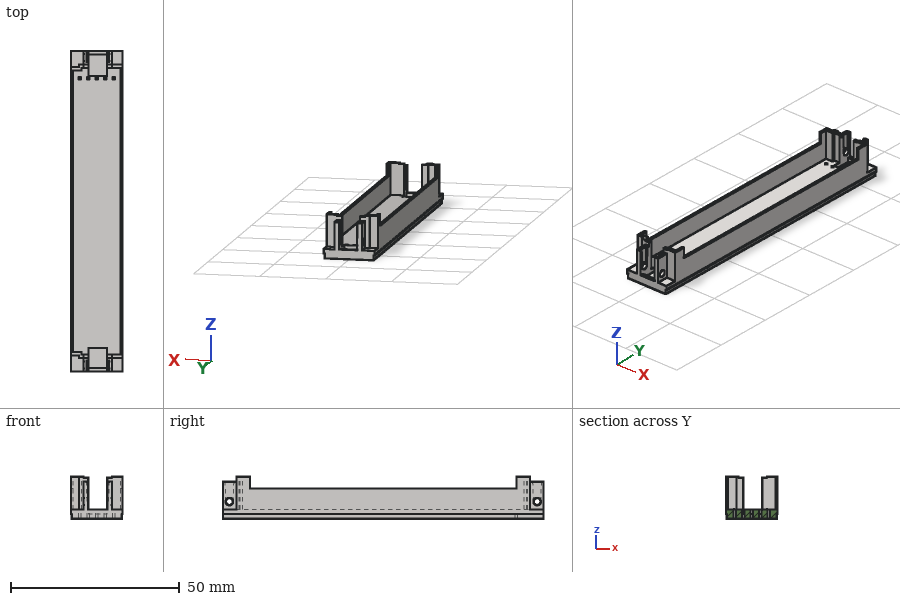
import cadquery as cq

length = 95.0
width = 15.4
height = 12.5

base_height = 2.85
foot_height = 1.4
foot_inset = 0.3
side_wall = 0.7
side_wall_top = 9.0

raised_from_end = 8.1
end_wall_from_end = 4.0
end_wall_thickness = 1.0
jog_depth = 0.8
jog_outer_x = -5.3
jog_inner_x = -4.5

channel_width = 5.5
lug_thickness = 1.4
channel_center_x = 0.3
lug_top = 11.0
lug_wall_top = 12.3
pin_hole_diameter = 2.1
pin_hole_from_end = 1.9
pin_hole_height = 5.1
groove_width_at_top = 2.7
groove_depth_at_top = 0.6
groove_depth_at_hole = 0.5

recess_from_end = 1.0
recess_inner_from_rear_end = 7.5
recess_inner_from_front_end = 7.0
recess_floor = 1.4

wire_hole_diameter = 0.7
wire_hole_count = 5
wire_hole_row_length = 10.1
wire_hole_from_end = 8.1

half_length = length / 2
half_width = width / 2
inner_half_width = half_width - side_wall
half_lugs = channel_width / 2 + lug_thickness
end_wall_outer = half_length - end_wall_from_end
end_wall_inner = end_wall_outer - end_wall_thickness


def block(x_range, y_range, z_range):
    """Box between the given pairs of limits."""
    size = [high - low for low, high in (x_range, y_range, z_range)]
    corner = (x_range[0], y_range[0], z_range[0])
    return cq.Workplane("XY").box(*size, centered=False).translate(corner)


def centered_on_channel(half_size):
    """X limits placed evenly about the middle of the channel."""
    return (channel_center_x - half_size, channel_center_x + half_size)


def cross_cylinder(x_range, y, z, diameter):
    """Cylinder along X between the given limits."""
    start, end = x_range
    return cq.Workplane("YZ", origin=(start, y, z)).circle(diameter / 2).extrude(end - start)


def tray_outline(half_x, end_y, jog_x):
    """Plan outline whose two left corners are set back by one jog."""
    jog_y = end_y - jog_depth
    right_half = [(half_x, -end_y), (half_x, end_y)]
    left_half = [(jog_x, end_y), (jog_x, jog_y), (-half_x, jog_y)]
    left_half += [(x, -y) for x, y in reversed(left_half)]
    return cq.Workplane("XY").polyline(right_half + left_half).close()


def make_base():
    foot_width = width - 2 * foot_inset
    foot = cq.Workplane("XY").box(foot_width, length, foot_height, centered=(True, True, False))
    slab = cq.Workplane("XY").box(width, length, base_height - foot_height, centered=(True, True, False))
    return foot.union(slab.translate((0, 0, foot_height)))


def make_tray_walls():
    walls = tray_outline(half_width, end_wall_outer, jog_outer_x).extrude(height)
    raised_y = half_length - raised_from_end
    low_stretch = block((-half_width, half_width), (-raised_y, raised_y), (side_wall_top, height))
    below = block((-half_width, half_width), (-half_length, half_length), (0, foot_height))
    return walls.cut(low_stretch).cut(below)


def make_tray_cavity():
    cavity = tray_outline(inner_half_width, end_wall_inner, jog_inner_x)
    return cavity.extrude(height - base_height).translate((0, 0, base_height))


def end_features(tray, recess_inner_from_end):
    """Add and cut everything that belongs to the +Y end of the tray."""
    lug_x = centered_on_channel(half_lugs)
    channel_x = centered_on_channel(channel_width / 2)
    wall_y = (end_wall_inner, end_wall_outer)
    hole_y = half_length - pin_hole_from_end

    tray = tray.union(block(lug_x, (end_wall_inner, half_length), (base_height, lug_top)))
    tray = tray.cut(block(lug_x, wall_y, (lug_wall_top, height)))
    tray = tray.cut(block(channel_x, (end_wall_inner, half_length), (base_height, height)))

    pin_hole = cross_cylinder(lug_x, hole_y, pin_hole_height, pin_hole_diameter)

    groove = (
        cq.Workplane("XY", origin=(channel_center_x, hole_y, pin_hole_height))
        .rect(channel_width + 2 * groove_depth_at_hole, pin_hole_diameter)
        .workplane(offset=lug_top - pin_hole_height)
        .rect(channel_width + 2 * groove_depth_at_top, groove_width_at_top)
        .loft()
    )

    recess_y = (half_length - recess_inner_from_end, half_length - recess_from_end)
    recess = block(channel_x, recess_y, (recess_floor, base_height))
    return tray.cut(pin_hole).cut(groove).cut(recess)


def make_wire_holes():
    pitch = wire_hole_row_length / (wire_hole_count - 1)
    return (
        cq.Workplane("XY")
        .center(0, half_length - wire_hole_from_end)
        .rarray(pitch, 0.95, wire_hole_count, 1)
        .circle(wire_hole_diameter / 2)
        .extrude(height)
    )


result = make_base().union(make_tray_walls()).cut(make_tray_cavity())
for recess_inner in (recess_inner_from_rear_end, recess_inner_from_front_end):
    result = end_features(result, recess_inner).mirror("XZ")
result = result.cut(make_wire_holes())